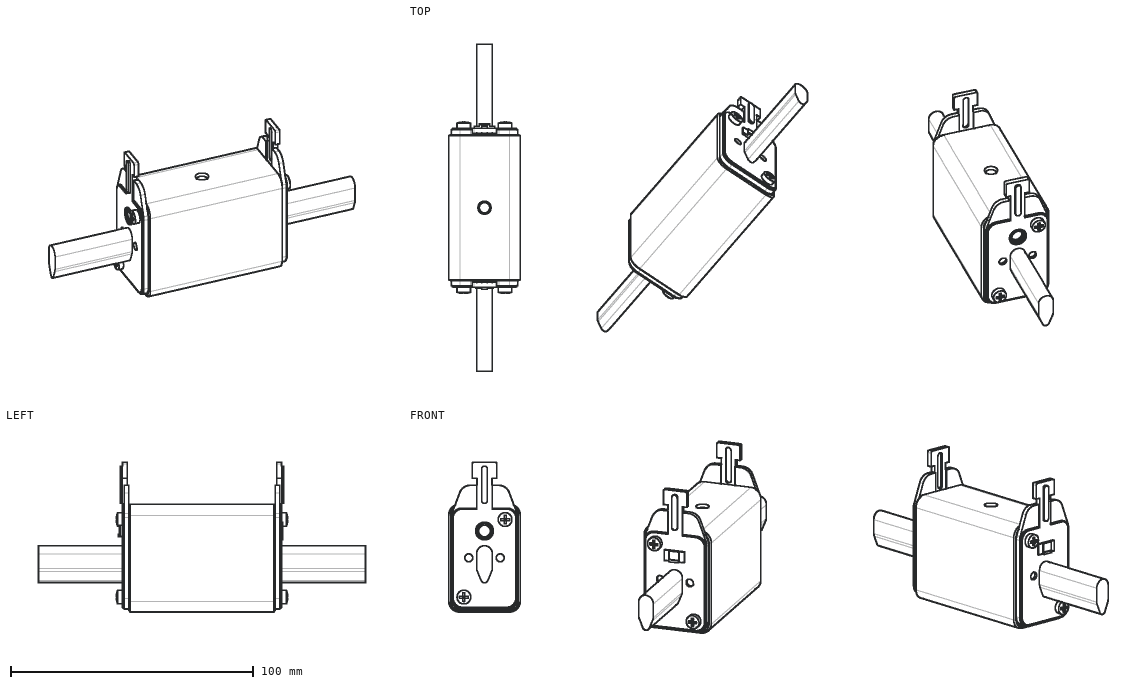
import cadquery as cq
import math


overall_length = 134.9
housing_width = 29.5
housing_height = 44.5
housing_length = 60.2
housing_corner_radius = 4.6
end_bevel_depth = 0.47
end_bevel_length = 0.8
window_radius = 2.7
window_floor_radius = 2.2
window_depth = 1.2

sheet_thickness = 2.0
panel_rise = 0.7
panel_inset = 0.4
panel_bevel = 0.4
cover_width = 27.5
cover_bottom = 1.2
cover_corner_radius = 4.6
shoulder_start = 39.1
lean_angle = 20.7
lean_bend_radius = 4.5
shield_arc_radius = 4.7
shield_top = 52.3
panel_top = 42.9

tab_top = 61.8
tab_neck_width = 6.2
tab_head_width = 10.3
tab_head_bottom = 55.2
tab_corner_radius = 0.7
rib_width = 2.4
rib_bottom = 44.8
rib_top = 60.2
rib_rise = 0.8

blade_thickness = 6.5
blade_arc_center = 24.1
blade_side_bottom = 17.5
blade_bottom = 12.1
blade_tip_radius = 1.5
blade_bend_radius = 3.1

screw_offset = 8.5
upper_screw_height = 38.2
lower_screw_height = 6.2
screw_radius = 2.8
screw_side_height = 2.0
screw_dome_height = 0.5
cross_length = 4.3
cross_width = 0.8
cross_depth = 1.3
pin_hole_offset = 6.5
pin_hole_height = 22.4
pin_hole_radius = 1.6
pin_hole_depth = 1.1

indicator_height = 33.5
collar_radius = 3.6
collar_rise = 0.4
recess_radius = 3.1
recess_depth = 0.8
inner_recess_radius = 2.4
inner_recess_depth = 1.9
indicator_span = 4.6
indicator_base_width = 8.6
indicator_base_rise = 0.8
indicator_block_width = 4.3
indicator_block_rise = 1.3
indicator_lip_rise = 1.8
indicator_lip_height = 1.0

sheet_back = housing_length / 2
sheet_face = sheet_back + sheet_thickness
panel_face = sheet_face + panel_rise
tab_back = sheet_back + panel_rise
blade_end = overall_length / 2


def end_plane(distance):
    """Sketch plane facing -Y at a distance from the middle; sketch axes are X and Z."""
    return cq.Workplane("XZ", origin=(0, -distance, 0))


def end_block(start, stop, width, bottom, top):
    """Block centred on X = 0 between two distances along -Y."""
    sketch = end_plane(start).center(0, (bottom + top) / 2)
    return sketch.rect(width, top - bottom).extrude(stop - start)


def make_housing():
    body = (
        cq.Workplane("XZ", origin=(0, housing_length / 2, housing_height / 2))
        .rect(housing_width, housing_height)
        .extrude(housing_length)
        .edges("|Y").fillet(housing_corner_radius)
    )
    body = body.faces("<Y").chamfer(end_bevel_depth, end_bevel_length)
    body = body.faces(">Y").chamfer(end_bevel_depth, end_bevel_length)
    window = (
        cq.Workplane("XY", origin=(0, 0, housing_height))
        .circle(window_radius)
        .workplane(offset=-window_depth).circle(window_floor_radius)
        .loft(ruled=True)
    )
    return body.cut(window)


def make_sheet():
    """Flat cover sheet: rounded foot, upright sides, and sides leaning in to the shield top."""
    lean = math.radians(lean_angle)
    half_width = cover_width / 2
    bend_x = half_width - lean_bend_radius * (1 - math.cos(lean))
    bend_z = shoulder_start + lean_bend_radius * math.sin(lean)
    arc_z = shield_top - shield_arc_radius * (1 - math.sin(lean))
    arc_x = bend_x - (arc_z - bend_z) * math.tan(lean)
    flat_x = arc_x - shield_arc_radius * math.cos(lean)
    sheet = (
        end_plane(sheet_back)
        .moveTo(-half_width, cover_bottom)
        .lineTo(half_width, cover_bottom)
        .lineTo(half_width, shoulder_start)
        .radiusArc((bend_x, bend_z), -lean_bend_radius)
        .lineTo(arc_x, arc_z)
        .radiusArc((flat_x, shield_top), -shield_arc_radius)
        .lineTo(-flat_x, shield_top)
        .radiusArc((-arc_x, arc_z), -shield_arc_radius)
        .lineTo(-bend_x, bend_z)
        .radiusArc((-half_width, shoulder_start), -lean_bend_radius)
        .close()
        .extrude(sheet_thickness)
    )
    foot = cq.selectors.BoxSelector(
        (-housing_width, -housing_length, 0),
        (housing_width, 0, 2 * cover_bottom),
    )
    return sheet.edges("|Y").edges(foot).fillet(cover_corner_radius)


def make_panel():
    """Raised panel with bevelled rim in front of the sheet."""
    panel = end_block(
        sheet_face, panel_face, cover_width - 2 * panel_inset, cover_bottom + panel_inset, panel_top
    )
    panel = panel.edges("|Y").fillet(cover_corner_radius - panel_inset)
    return panel.faces("<Y").chamfer(panel_bevel)


def make_tab():
    """T-shaped grip tab standing on the panel."""
    neck = end_block(tab_back, panel_face, tab_neck_width, panel_top - 2 * panel_bevel, tab_top)
    head = end_block(tab_back, panel_face, tab_head_width, tab_head_bottom, tab_top)
    head = head.faces(">Z").edges("|Y").fillet(tab_corner_radius)
    return neck.union(head)


def rib_slug(start):
    """Upright rounded bar with the shape of the tab rib, starting at a distance along -Y."""
    return (
        end_plane(start)
        .center(0, (rib_bottom + rib_top) / 2)
        .slot2D(rib_top - rib_bottom, rib_width, 90)
        .extrude(rib_rise)
    )


def make_blade():
    """Contact blade with a round back and a tapered edge."""
    half = blade_thickness / 2
    tip_center = blade_bottom + blade_tip_radius
    drop = blade_side_bottom - tip_center
    tangent_angle = math.atan2(drop, half) - math.acos(blade_tip_radius / math.hypot(drop, half))
    tip_x = blade_tip_radius * math.cos(tangent_angle)
    tip_z = tip_center + blade_tip_radius * math.sin(tangent_angle)
    blade = (
        end_plane(sheet_face)
        .moveTo(-half, blade_arc_center)
        .threePointArc((0, blade_arc_center + half), (half, blade_arc_center))
        .lineTo(half, blade_side_bottom)
        .lineTo(tip_x, tip_z)
        .threePointArc((0, blade_bottom), (-tip_x, tip_z))
        .lineTo(-half, blade_side_bottom)
        .close()
        .extrude(blade_end - sheet_face)
    )
    side_ends = cq.selectors.BoxSelector(
        (-blade_thickness, -blade_end, blade_side_bottom - blade_tip_radius),
        (blade_thickness, 0, blade_side_bottom + blade_tip_radius),
    )
    return blade.edges("|Y").edges(side_ends).fillet(blade_bend_radius)


def make_screw(x, z):
    """Domed screw head with a cross recess deepest at its middle, seated on the panel."""
    rim = screw_side_height
    crown = screw_side_height + screw_dome_height
    dome_radius = (screw_radius ** 2 + screw_dome_height ** 2) / (2 * screw_dome_height)
    head = (
        cq.Workplane("XY")
        .lineTo(screw_radius, 0)
        .lineTo(screw_radius, rim)
        .radiusArc((0, crown), -dome_radius)
        .close()
        .revolve(360, (0, 0, 0), (0, 1, 0))
    )
    for angle in (0, 90):
        slot = (
            cq.Workplane("XY", origin=(0, crown, 0))
            .polyline([(-cross_length / 2, 0), (0, -cross_depth), (cross_length / 2, 0)])
            .close()
            .extrude(cross_width / 2, both=True)
        )
        head = head.cut(slot.rotate((0, 0, 0), (0, 1, 0), angle))
    return head.rotate((0, 0, 0), (0, 0, 1), 180).translate((x, -panel_face, z))


def make_fitting():
    """Parts shared by both end fittings, joined as one solid on the -Y end."""
    fitting = make_sheet().union(make_panel())
    fitting = fitting.cut(end_block(sheet_back, tab_back, tab_neck_width, panel_top, shield_top))
    fitting = fitting.union(make_tab()).union(rib_slug(panel_face)).cut(rib_slug(tab_back))
    fitting = fitting.union(make_blade())
    fitting = fitting.union(make_screw(screw_offset, upper_screw_height))
    fitting = fitting.union(make_screw(-screw_offset, lower_screw_height))
    pin_holes = (
        end_plane(panel_face)
        .pushPoints([(-pin_hole_offset, pin_hole_height), (pin_hole_offset, pin_hole_height)])
        .circle(pin_hole_radius)
        .extrude(-pin_hole_depth)
    )
    return fitting.cut(pin_holes)


def add_collar(fitting):
    """Low collar around a stepped recess above the blade."""
    collar_face = panel_face + collar_rise
    collar = end_plane(panel_face).center(0, indicator_height).circle(collar_radius).extrude(collar_rise)
    mouth = end_plane(collar_face).center(0, indicator_height)
    recess = mouth.circle(recess_radius).extrude(-recess_depth)
    inner_recess = mouth.circle(inner_recess_radius).extrude(-inner_recess_depth)
    return fitting.union(collar).cut(recess).cut(inner_recess)


def add_indicator(fitting):
    """Stepped indicator block with a lip along its lower edge."""
    bottom = indicator_height - indicator_span / 2
    top = bottom + indicator_span
    steps = [
        (indicator_base_width, indicator_base_rise, top),
        (indicator_block_width, indicator_block_rise, top),
        (indicator_block_width, indicator_lip_rise, bottom + indicator_lip_height),
    ]
    for width, rise, step_top in steps:
        fitting = fitting.union(end_block(panel_face, panel_face + rise, width, bottom, step_top))
    return fitting


housing = make_housing()
front_fitting = add_collar(make_fitting())
rear_fitting = add_indicator(make_fitting()).mirror("XZ")

result = cq.Compound.makeCompound([housing.val(), front_fitting.val(), rear_fitting.val()])